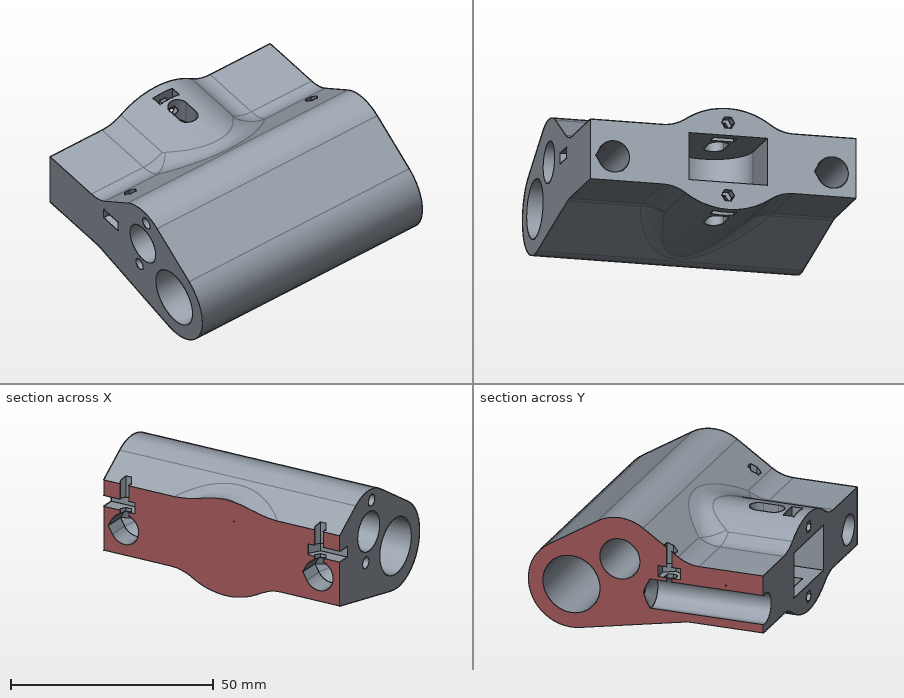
import cadquery as cq
import math


width = 68.0
hub_offset = 1.25
y_min = -width / 2 + hub_offset
y_max = width / 2 + hub_offset
plate_half_height = 7.625
ramp_start_x = 20.0
blend_radius = 10.0
edge_inset = 1.0

small_bore = (38.0, 6.53)
small_bore_radius = 5.25
small_lobe_radius = 11.0
large_bore = (50.82, -2.03)
large_bore_radius = 7.5
large_lobe_radius = 11.5

hub_half_height = 12.9
hub_crown_radius = 19.0
hub_end_x = 48.0

pocket_width = 20.0
pocket_height = 12.0
axle_width = 5.0
axle_slot_start = 6.5
axle_slot_end = 15.5
axle_slot_middle = (axle_slot_start + axle_slot_end) / 2
pocket_round_x = axle_slot_end - axle_width / 2
pocket_radius = pocket_width / 2

screw_flats = 2.8
nut_flats = 5.9
nut_thickness = 2.8
tension_screw_z = 9.28
tension_nut_x = 4.15
tension_screw_depth = axle_slot_middle

end_margin = 6.0
socket_y = (y_min + end_margin, y_max - end_margin)
socket_z = -1.5
socket_radius = 4.0
socket_peak_angle = 30.0
socket_depth = 30.0
socket_tip_radius = 0.6
socket_tip_angle = 60.0
clamp_x = 24.9
clamp_nut_z = 4.8

face_hole_radius = 1.5
face_hole_pitch_radius = 8.0
face_hole_angle = 80.0
face_hole_depth = 10.0


def polar(center, radius, angle):
    return (center[0] + radius * math.cos(angle), center[1] + radius * math.sin(angle))


def tangent_angle(point, center, radius, side):
    """Direction, seen from the centre, of the tangent point of a line drawn from `point`."""
    dx = point[0] - center[0]
    dz = point[1] - center[1]
    return math.atan2(dz, dx) + side * math.acos(radius / math.hypot(dx, dz))


def extrude_along_y(sketch_x_z, start, length):
    """Extrude a wire drawn by `sketch_x_z` on the XZ plane from Y = start towards +Y."""
    plane = cq.Workplane("XZ", origin=(0, start, 0))
    return sketch_x_z(plane).extrude(-length)


def body_outline(plane):
    top_corner = (ramp_start_x, plate_half_height)
    bottom_corner = (ramp_start_x, -plate_half_height)
    ramp_angle = tangent_angle(top_corner, small_bore, small_lobe_radius, -1)
    belly_angle = tangent_angle(bottom_corner, large_bore, large_lobe_radius, 1)
    dx = large_bore[0] - small_bore[0]
    dz = large_bore[1] - small_bore[1]
    radius_step = large_lobe_radius - small_lobe_radius
    back_angle = math.atan2(dz, dx) + math.acos(-radius_step / math.hypot(dx, dz))
    return (
        plane.moveTo(0, -plate_half_height)
        .lineTo(0, plate_half_height)
        .lineTo(*top_corner)
        .lineTo(*polar(small_bore, small_lobe_radius, ramp_angle))
        .threePointArc(
            polar(small_bore, small_lobe_radius, math.pi / 2),
            polar(small_bore, small_lobe_radius, back_angle),
        )
        .lineTo(*polar(large_bore, large_lobe_radius, back_angle))
        .threePointArc(
            polar(large_bore, large_lobe_radius, 0),
            polar(large_bore, large_lobe_radius, belly_angle),
        )
        .lineTo(*bottom_corner)
        .close()
    )


def make_hub():
    crown_center_z = hub_half_height - hub_crown_radius
    half_width = math.sqrt(hub_crown_radius**2 - crown_center_z**2)
    return (
        cq.Workplane("YZ")
        .moveTo(-half_width, 0)
        .threePointArc((0, hub_half_height), (half_width, 0))
        .threePointArc((0, -hub_half_height), (-half_width, 0))
        .close()
        .extrude(hub_end_x)
    )


def make_blank():
    """Body and hub, with every inner corner between plate, ramps and hub rounded."""
    sharp = extrude_along_y(body_outline, y_min, width).union(make_hub())
    inner_corners = cq.selectors.BoxSelector(
        (edge_inset, y_min + edge_inset, -hub_half_height),
        (hub_end_x, y_max - edge_inset, hub_half_height),
    )
    return sharp.edges(inner_corners).fillet(blend_radius)


def bore_cut(center, radius):
    return extrude_along_y(lambda plane: plane.moveTo(*center).circle(radius), y_min, width)


def hexagon(plane, flats, corner_angle=0):
    """Hexagon wire with a corner at `corner_angle` degrees from the plane's local X."""
    corner_radius = flats / math.sqrt(3)
    corners = [
        polar((0, 0), corner_radius, math.radians(corner_angle + 60 * side))
        for side in range(6)
    ]
    return plane.polyline(corners).close()


def pocket_cut():
    straight = cq.Workplane("XY").box(
        pocket_round_x, pocket_width, pocket_height, centered=(False, True, True)
    )
    round_end = (
        cq.Workplane("XY")
        .center(pocket_round_x, 0)
        .circle(pocket_radius)
        .extrude(pocket_height / 2, both=True)
    )
    return straight.union(round_end)


def axle_slot_cut():
    length = axle_slot_end - axle_slot_start
    return (
        cq.Workplane("XY")
        .center(axle_slot_middle, 0)
        .slot2D(length, axle_width)
        .extrude(hub_half_height, both=True)
    )


def tension_nut_cut():
    return cq.Workplane("XY").box(nut_thickness, nut_flats, 2 * hub_half_height).translate(
        (tension_nut_x, 0, 0)
    )


def tension_screw_cut(z):
    plane = cq.Workplane("YZ", origin=(0, 0, z))
    return hexagon(plane, screw_flats).extrude(tension_screw_depth)


def teardrop(plane, radius):
    """Circle with a peak towards +Y whose flanks are tangent to it."""
    angle = math.radians(socket_peak_angle)
    flank = polar((0, 0), radius, angle)
    return (
        plane.moveTo(*flank)
        .threePointArc((-radius, 0), (flank[0], -flank[1]))
        .lineTo(radius / math.cos(angle), 0)
        .close()
    )


def socket_cut(y):
    """Teardrop socket with a conical, drill-like tip."""
    barrel_start = cq.Workplane("YZ", origin=(0, y, socket_z))
    barrel = teardrop(barrel_start, socket_radius).extrude(socket_depth)
    tip_length = (socket_radius - socket_tip_radius) / math.tan(math.radians(socket_tip_angle))
    tip_start = cq.Workplane("YZ", origin=(socket_depth, y, socket_z))
    tip_end = teardrop(tip_start, socket_radius).workplane(offset=tip_length)
    tip = teardrop(tip_end, socket_tip_radius).loft(ruled=True)
    return barrel.union(tip)


def clamp_cut(y, end_y):
    """Clamping screw down to the socket, and its nut slot open to the end at `end_y`."""
    corner_along_y = 90
    screw_plane = cq.Workplane("XY", origin=(clamp_x, y, socket_z))
    body_top_z = small_bore[1] + small_lobe_radius
    screw = hexagon(screw_plane, screw_flats, corner_along_y).extrude(body_top_z - socket_z)
    nut_plane = cq.Workplane("XY", origin=(clamp_x, y, clamp_nut_z - nut_thickness / 2))
    nut = hexagon(nut_plane, nut_flats, corner_along_y).extrude(nut_thickness)
    slot = cq.Workplane("XY").box(nut_flats, end_margin, nut_thickness).translate(
        (clamp_x, (y + end_y) / 2, clamp_nut_z)
    )
    return screw.union(nut).union(slot)


def face_hole_cut(angle_degrees):
    center = polar(small_bore, face_hole_pitch_radius, math.radians(angle_degrees))
    return extrude_along_y(
        lambda plane: plane.moveTo(*center).circle(face_hole_radius), y_min, face_hole_depth
    )


cuts = [
    bore_cut(small_bore, small_bore_radius),
    bore_cut(large_bore, large_bore_radius),
    pocket_cut(),
    axle_slot_cut(),
    tension_nut_cut(),
]
for screw_z in (-tension_screw_z, tension_screw_z):
    cuts.append(tension_screw_cut(screw_z))
for rod_y, end_y in zip(socket_y, (y_min, y_max)):
    cuts.append(socket_cut(rod_y))
    cuts.append(clamp_cut(rod_y, end_y))
for hole_angle in (face_hole_angle, face_hole_angle + 180):
    cuts.append(face_hole_cut(hole_angle))

result = make_blank()
for cut in cuts:
    result = result.cut(cut)